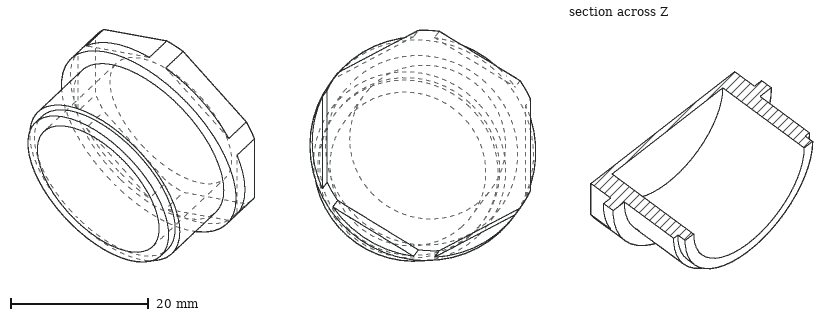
import cadquery as cq

flange_diameter = 33.0
body_diameter = 28.35
neck_diameter = 26.6
bore_diameter = 23.0
hex_across_flats = 30.0

total_length = 17.5
neck_length = 1.5
body_length = 10.0
flange_thickness = 2.0
floor_thickness = 1.0

body_start = neck_length
flange_start = body_start + body_length
head_start = flange_start + flange_thickness
head_length = total_length - head_start
bore_depth = total_length - floor_thickness

hex_sides = 6


def cylinder(diameter, start, length):
    """Solid cylinder on the Y axis, growing toward +Y from start."""
    plane = cq.Plane(origin=(0, start, 0), xDir=(1, 0, 0), normal=(0, 1, 0))
    return cq.Workplane(plane).circle(diameter / 2).extrude(length)


def hex_head():
    """Hexagon with flats facing +X and -X, its corners rounded to the flange diameter."""
    plane = cq.Plane(origin=(0, head_start, 0), xDir=(1, 0, 0), normal=(0, 1, 0))
    hexagon = (
        cq.Workplane(plane)
        .polygon(hex_sides, hex_across_flats, circumscribed=True)
        .extrude(head_length)
    )
    return hexagon.intersect(cylinder(flange_diameter, head_start, head_length))


neck = cylinder(neck_diameter, 0, neck_length)
body = cylinder(body_diameter, body_start, body_length)
flange = cylinder(flange_diameter, flange_start, flange_thickness)
blind_bore = cylinder(bore_diameter, 0, bore_depth)

result = neck.union(body).union(flange).union(hex_head()).cut(blind_bore)